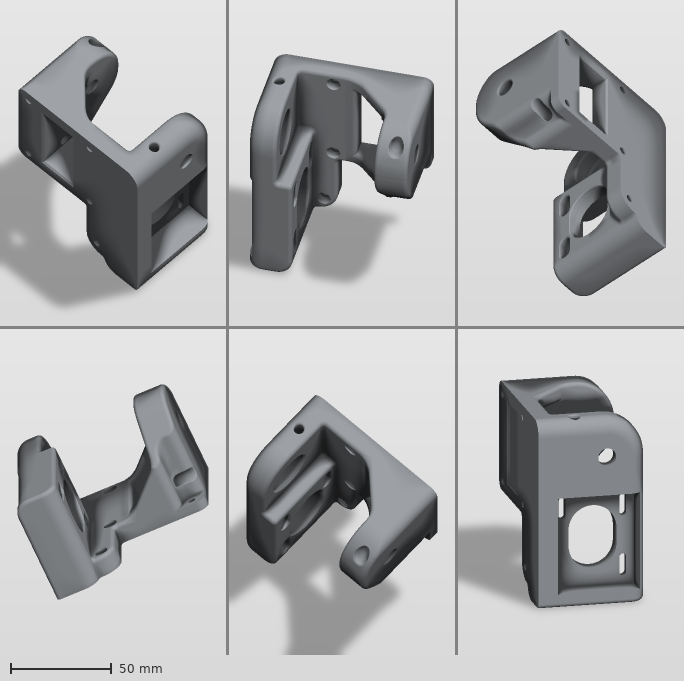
import cadquery as cq
import math

WIDTH = 82.0
DEPTH = 55.0
HEIGHT = 96.0
COS45 = math.sqrt(0.5)

EDGE_R = 2.0
BREAK = 1.0
FINE_BREAK = 0.5

PLATE_T = 10.0
FLANGE_T = 5.0
PLATE_BOTTOM = 40.0
CORNER_R = 5.0
LEG_LEFT = 47.1
LEG_BOTTOM = 6.9
LEG_CORNER_R = 10.0

PIVOT_R = 20.0
PIVOT_Y = DEPTH - PIVOT_R
PIVOT_Z = HEIGHT - PIVOT_R
PIVOT_FLAT = 2.8
PIVOT_D = 9.0

ARM_T = 17.0
GUSSET_END_X = 37.0
GUSSET_Y = PLATE_T + GUSSET_END_X - ARM_T
GUSSET_TOP_R = 10.0
GUSSET_FOOT_R = 15.0

WALL_X = 59.0
MOTOR_WALL_T = 8.0
UPPER_X = WALL_X + MOTOR_WALL_T
LEDGE_Z = 58.1
LEDGE_R = 1.9
OUTER_R = 8.0
PLATE_END_X = UPPER_X + 4.8

SCREW_D = 4.0
HEAD_D = 7.2
SCREW_LEFT = 7.0
SCREW_RIGHT = 49.1
SCREW_TOP = 90.0
SCREW_LOW = PLATE_BOTTOM + CORNER_R
LEG_SCREW = (54.0, 14.0)

WINDOW_W = GUSSET_END_X - ARM_T
WINDOW_H = 41.0
WINDOW_X = (GUSSET_END_X + ARM_T) / 2
WINDOW_Z = (SCREW_TOP + SCREW_LOW) / 2

BEARING_D = 22.2
BEARING_DEPTH = 7.0
RECESS_D = 20.4

MOTOR_Y = 31.2
MOTOR_Z = 31.1
MOTOR_SIZE = 42.4
TRAVEL = 8.0
MOTOR_BORE_D = 24.5
MOTOR_PITCH = 31.0
MOTOR_SCREW_D = 3.5
MOTOR_HEAD_D = 6.0
MOTOR_HEAD_DEPTH = MOTOR_WALL_T / 2

TENSION_D = 5.0
TENSION_X = WIDTH - OUTER_R
TENSION_Y = 20.2


def along_x(sketch, x0, x1):
    """Extrude a sketch drawn in (Y, Z) from x0 to x1."""
    return sketch.extrude(x1 - x0).translate((x0, 0, 0))


def along_y(sketch, y0, y1):
    """Extrude a sketch drawn in (X, Z) from y0 to y1."""
    return sketch.extrude(y0 - y1).translate((0, y0, 0))


def nearest_edges(body, points):
    """The edge whose middle lies nearest to each point."""
    return [body.edges(cq.selectors.NearestToPointSelector(point)).val() for point in points]


def round_edges(body, radius, points):
    """Fillet the edges that lie nearest to the given points."""
    return body.newObject(nearest_edges(body, points)).fillet(radius)


def chamfer_edges(body, size, points):
    """Chamfer the edges that lie nearest to the given points."""
    return body.newObject(nearest_edges(body, points)).chamfer(size)


def left_block():
    """Left arm, gusset and wide part of the plate."""
    plan = (
        cq.Workplane("XY", origin=(0, 0, PLATE_BOTTOM))
        .polyline([
            (0, 0),
            (PLATE_END_X, 0),
            (PLATE_END_X, PLATE_T),
            (GUSSET_END_X, PLATE_T),
            (ARM_T, GUSSET_Y),
            (ARM_T, DEPTH),
            (0, DEPTH),
        ])
        .close()
        .extrude(HEIGHT - PLATE_BOTTOM)
    )
    lower_z = PIVOT_Z - PIVOT_FLAT
    slant_y = PIVOT_Y + PIVOT_R * COS45
    slant_z = lower_z - PIVOT_R * COS45
    profile = (
        cq.Workplane("YZ")
        .moveTo(0, HEIGHT)
        .lineTo(PIVOT_Y, HEIGHT)
        .radiusArc((DEPTH, PIVOT_Z), PIVOT_R)
        .lineTo(DEPTH, lower_z)
        .radiusArc((slant_y, slant_z), PIVOT_R)
        .lineTo(slant_y - (slant_z - PLATE_BOTTOM), PLATE_BOTTOM)
        .lineTo(0, PLATE_BOTTOM)
        .close()
    )
    corner_y = DEPTH / 2
    plan = round_edges(plan, CORNER_R, [(0, corner_y, HEIGHT), (0, corner_y, PLATE_BOTTOM)])
    plan = round_edges(plan, GUSSET_TOP_R, [(ARM_T, GUSSET_Y, WINDOW_Z)])
    block = plan.intersect(along_x(profile, 0, PLATE_END_X)).cut(screw_relief())
    return round_edges(block, EDGE_R, [(0, DEPTH, lower_z + PIVOT_FLAT / 2)])


def screw_relief():
    """Clearance around the lower left screw head, an S-shaped step along the arm."""
    r = CORNER_R
    side_z = SCREW_LOW + 2 * r
    outline = (
        cq.Workplane("XZ")
        .moveTo(0, side_z)
        .radiusArc((r, side_z - r), -r)
        .lineTo(SCREW_LEFT, SCREW_LOW + r)
        .radiusArc((SCREW_LEFT + r, SCREW_LOW), r)
        .radiusArc((ARM_T, PLATE_BOTTOM), -r)
        .lineTo(ARM_T, PLATE_BOTTOM - r)
        .lineTo(-r, PLATE_BOTTOM - r)
        .lineTo(-r, side_z)
        .close()
    )
    return along_y(outline, FLANGE_T, DEPTH)


def right_wall():
    """Motor wall with the thinner upper arm above its ledge."""
    outline = (
        cq.Workplane("XZ")
        .moveTo(UPPER_X, HEIGHT)
        .lineTo(WIDTH, HEIGHT)
        .lineTo(WIDTH, 0)
        .lineTo(WALL_X + OUTER_R, 0)
        .radiusArc((WALL_X, OUTER_R), OUTER_R)
        .lineTo(WALL_X, LEDGE_Z - LEDGE_R)
        .radiusArc((WALL_X + LEDGE_R, LEDGE_Z), LEDGE_R)
        .lineTo(UPPER_X - LEDGE_R, LEDGE_Z)
        .radiusArc((UPPER_X, LEDGE_Z + LEDGE_R), -LEDGE_R)
        .close()
    )
    profile = (
        cq.Workplane("YZ")
        .lineTo(0, HEIGHT)
        .lineTo(PIVOT_Y, HEIGHT)
        .radiusArc((DEPTH, PIVOT_Z), PIVOT_R)
        .lineTo(DEPTH, 0)
        .close()
    )
    shell = along_x(profile, WALL_X, WIDTH)
    shell = round_edges(shell, OUTER_R, [(WIDTH, PIVOT_Y / 2, HEIGHT)])
    wall = along_y(outline, 0, DEPTH).intersect(shell)
    return round_edges(wall, EDGE_R, [(WALL_X, DEPTH, MOTOR_Z)])


def leg():
    """Part of the plate that reaches down beside the motor wall."""
    outline = (
        cq.Workplane("XZ")
        .moveTo(LEG_LEFT, HEIGHT / 2)
        .lineTo(LEG_LEFT, LEG_BOTTOM + LEG_CORNER_R)
        .radiusArc((LEG_LEFT + LEG_CORNER_R, LEG_BOTTOM), -LEG_CORNER_R)
        .lineTo(UPPER_X, LEG_BOTTOM)
        .lineTo(UPPER_X, HEIGHT / 2)
        .close()
    )
    return along_y(outline, 0, PLATE_T)


def inner_corner():
    """Round of the top edge where it turns from the plate to the right arm."""
    x = UPPER_X - EDGE_R
    y = PLATE_T + EDGE_R
    z = HEIGHT - EDGE_R
    block = cq.Workplane("XY", origin=(x, y, z)).rect(2 * EDGE_R, -2 * EDGE_R, centered=False).extrude(EDGE_R)
    flare = (
        cq.Workplane("XZ", origin=(x, y, z))
        .lineTo(EDGE_R, 0)
        .radiusArc((2 * EDGE_R, EDGE_R), EDGE_R)
        .lineTo(0, EDGE_R)
        .close()
        .revolve(360, (0, 0), (0, 1))
    )
    return block.cut(flare)


def bracket():
    """All solid material with its rounded edges."""
    gusset_mid = ((ARM_T + GUSSET_END_X) / 2, (GUSSET_Y + PLATE_T) / 2)
    body = left_block().union(leg())
    body = round_edges(body, EDGE_R, [(LEG_LEFT, PLATE_T / 2, PLATE_BOTTOM)])
    body = round_edges(body, EDGE_R, [
        (LEG_LEFT, PLATE_T, (LEG_BOTTOM + PLATE_BOTTOM) / 2),
        (*gusset_mid, PLATE_BOTTOM),
        (*gusset_mid, HEIGHT),
        ((GUSSET_END_X + PLATE_END_X) / 2, PLATE_T, HEIGHT),
    ])
    body = round_edges(body, GUSSET_FOOT_R, [(GUSSET_END_X, PLATE_T, WINDOW_Z)])
    body = body.union(right_wall())
    return round_edges(body, EDGE_R, [(WALL_X, PLATE_T, MOTOR_Z)]).union(inner_corner())


def bore_x(y, z, diameter, x0, x1):
    """Round cutter along X."""
    return along_x(cq.Workplane("YZ").center(y, z).circle(diameter / 2), x0, x1)


def bore_y(x, z, diameter, y0, y1):
    """Round cutter along Y."""
    return along_y(cq.Workplane("XZ").center(x, z).circle(diameter / 2), y0, y1)


def slot_x(y, z, diameter, x0, x1):
    """Slot cutter along X, lengthened in Z by the motor travel."""
    return along_x(cq.Workplane("YZ").center(y, z).slot2D(TRAVEL + diameter, diameter, 90), x0, x1)


def cut_window(body):
    opening = cq.Workplane("XZ").center(WINDOW_X, WINDOW_Z).rect(WINDOW_W, WINDOW_H)
    funnel = (
        cq.Workplane("XZ")
        .center(WINDOW_X, WINDOW_Z)
        .rect(WINDOW_W + 2 * BREAK, WINDOW_H + 2 * BREAK)
        .extrude(-BREAK, taper=45)
    )
    body = body.cut(along_y(opening, 0, DEPTH)).cut(funnel)
    bend_x = ARM_T + GUSSET_TOP_R * (1 - COS45)
    gusset_mid = ((ARM_T + GUSSET_END_X) / 2, (GUSSET_Y + PLATE_T) / 2)
    zone = cq.Workplane("XY", origin=(bend_x, 0, 0)).rect(LEG_LEFT - bend_x, DEPTH, centered=False).extrude(HEIGHT)
    mouth = round_edges(body.intersect(zone), EDGE_R, [
        (*gusset_mid, WINDOW_Z - WINDOW_H / 2),
        (*gusset_mid, WINDOW_Z + WINDOW_H / 2),
        (GUSSET_END_X, PLATE_T, WINDOW_Z),
    ])
    return body.cut(zone).union(mouth)


def cut_plate_screws(body):
    head_spots = [(SCREW_LEFT, SCREW_TOP), (SCREW_RIGHT, SCREW_TOP), (SCREW_RIGHT, SCREW_LOW), LEG_SCREW]
    for x, z in head_spots + [(SCREW_LEFT, SCREW_LOW)]:
        body = body.cut(bore_y(x, z, SCREW_D, 0, PLATE_T))
    for x, z in head_spots:
        body = body.cut(bore_y(x, z, HEAD_D, FLANGE_T, DEPTH if x == SCREW_LEFT else PLATE_T))
    head_exit_y = PIVOT_Y + math.sqrt(PIVOT_R**2 - (SCREW_TOP - PIVOT_Z)**2)
    return chamfer_edges(body, FINE_BREAK, [(SCREW_LEFT, head_exit_y, SCREW_TOP)])


def cut_pivot(body):
    """Shaft hole through both arms and the bearing seat in the right one."""
    seat_x = UPPER_X + BEARING_DEPTH
    floor_x = seat_x + BREAK
    recess = cq.Workplane("YZ", origin=(seat_x, PIVOT_Y, PIVOT_Z)).circle(RECESS_D / 2).extrude(BREAK, taper=45)
    body = body.cut(bore_x(PIVOT_Y, PIVOT_Z, PIVOT_D, 0, WIDTH))
    body = body.cut(bore_x(PIVOT_Y, PIVOT_Z, BEARING_D, UPPER_X, seat_x))
    body = body.cut(recess)
    body = chamfer_edges(body, BREAK, [(UPPER_X, PIVOT_Y, PIVOT_Z)])
    return round_edges(body, BREAK, [(0, PIVOT_Y, PIVOT_Z), (floor_x, PIVOT_Y, PIVOT_Z)])


def cut_motor_mount(body):
    """Pocket from the right side, the slots in front of it and the access hole to one of them."""
    pocket = cq.Workplane("YZ").center(MOTOR_Y, MOTOR_Z).rect(MOTOR_SIZE, MOTOR_SIZE + TRAVEL)
    body = body.cut(along_x(pocket, UPPER_X, WIDTH))
    body = body.cut(slot_x(MOTOR_Y, MOTOR_Z, MOTOR_BORE_D, WALL_X, UPPER_X))
    body = chamfer_edges(body, FINE_BREAK, [(WALL_X, MOTOR_Y + MOTOR_BORE_D / 2, MOTOR_Z)])

    near_y = MOTOR_Y - MOTOR_PITCH / 2
    far_y = MOTOR_Y + MOTOR_PITCH / 2
    low_z = MOTOR_Z - MOTOR_PITCH / 2
    high_z = MOTOR_Z + MOTOR_PITCH / 2
    for y, z in [(near_y, high_z), (far_y, high_z), (far_y, low_z)]:
        body = body.cut(slot_x(y, z, MOTOR_SCREW_D, WALL_X, UPPER_X))
        body = body.cut(slot_x(y, z, MOTOR_HEAD_D, WALL_X, WALL_X + MOTOR_HEAD_DEPTH))
        body = chamfer_edges(body, FINE_BREAK, [(WALL_X, y + MOTOR_HEAD_D / 2, z)])

    access_z = high_z + TRAVEL / 2
    body = body.cut(bore_x(near_y, access_z, MOTOR_HEAD_D, 0, WALL_X - EDGE_R))
    return chamfer_edges(body, FINE_BREAK, [(SCREW_LEFT, near_y, access_z)])


def cut_tension_hole(body):
    hole = cq.Workplane("XY", origin=(TENSION_X, TENSION_Y, HEIGHT)).circle(TENSION_D / 2)
    body = body.cut(hole.extrude(MOTOR_Z - HEIGHT))
    return round_edges(body, BREAK, [(TENSION_X, TENSION_Y, HEIGHT)])


result = bracket()
result = cut_window(result)
result = cut_plate_screws(result)
result = cut_pivot(result)
result = cut_motor_mount(result)
result = cut_tension_hole(result)